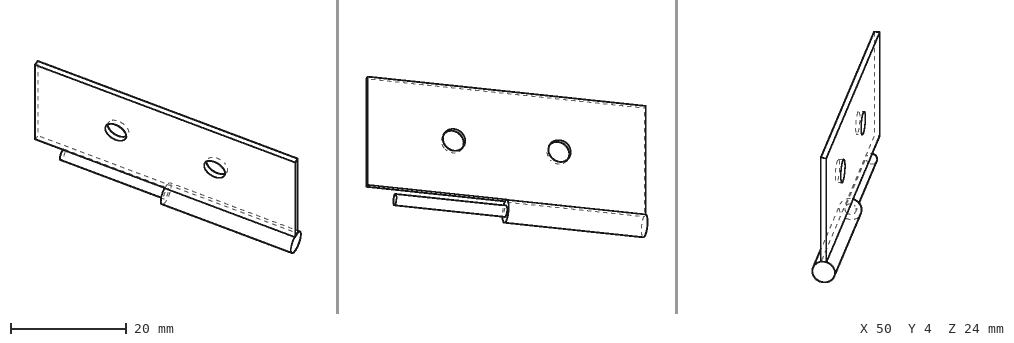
import cadquery as cq

leaf_length = 50.0
leaf_height = 20.0
leaf_thickness = 1.0
hole_diameter = 4.0
hole_spacing = 19.0

knuckle_diameter = 4.0
knuckle_length = 25.0
knuckle_end_gap = 0.1
pin_diameter = 2.0
pin_start = 5.0

knuckle_end = leaf_length - knuckle_end_gap
knuckle_start = knuckle_end - knuckle_length
axis_z = -knuckle_diameter / 2


def rod(diameter, start, end):
    """Solid cylinder on the hinge axis between two X positions."""
    return (
        cq.Workplane("YZ", origin=(start, 0, axis_z))
        .circle(diameter / 2)
        .extrude(end - start)
    )


def leaf():
    """Upright plate with two screw holes at mid-height."""
    plate = cq.Workplane("XY").box(
        leaf_length, leaf_thickness, leaf_height, centered=(False, True, False)
    )
    return (
        plate.faces("<Y")
        .workplane(centerOption="CenterOfMass")
        .rarray(hole_spacing, 0.5, 2, 1)
        .hole(hole_diameter)
    )


def root():
    """Foot of the leaf, joining it to the knuckle below."""
    return cq.Workplane("XY", origin=(knuckle_start, 0, axis_z)).box(
        knuckle_length, leaf_thickness, -axis_z, centered=(False, True, False)
    )


knuckle = rod(knuckle_diameter, knuckle_start, knuckle_end)
pin = rod(pin_diameter, pin_start, knuckle_end)
result = leaf().union(root()).union(knuckle).union(pin)